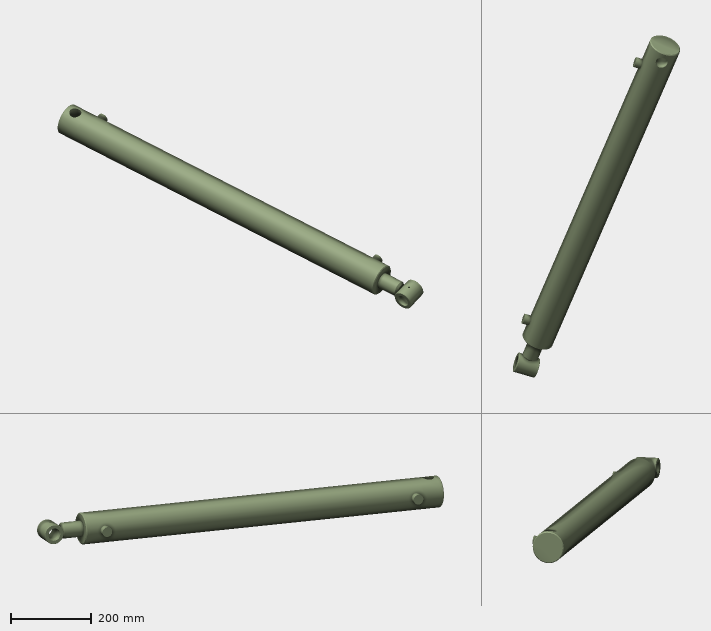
import cadquery as cq

OVERALL_LENGTH = 1063.0

BODY_DIAMETER = 80.0
END_CHAMFER = 2.0
CAP_LENGTH = 55.0
GLAND_END = 957.0
GLAND_LENGTH = 10.0
PIN_DIAMETER = 30.0
CAP_PIN_X = 28.0

PORT_DIAMETER = 25.0
PORT_HEIGHT = 15.0
PORT_POSITIONS = (74.0, 907.0)

ROD_DIAMETER = 40.0
ROD_CHAMFER = 5.0
EYE_DIAMETER = 50.0
EYE_LENGTH = 55.0
EYE_CHAMFER = 1.0
GREASE_HOLE_DIAMETER = 5.0

BODY_RADIUS = BODY_DIAMETER / 2
GLAND_START = GLAND_END - GLAND_LENGTH
EYE_X = OVERALL_LENGTH - EYE_DIAMETER / 2
ROD_END = OVERALL_LENGTH - EYE_DIAMETER


def axial_cylinder(diameter, start, end):
    """Round bar along the cylinder axis from x = start to x = end."""
    return cq.Workplane("YZ", origin=(start, 0, 0)).circle(diameter / 2).extrude(end - start)


def make_end_cap():
    cap = axial_cylinder(BODY_DIAMETER, 0, CAP_LENGTH)
    cap = cap.faces("<X").chamfer(END_CHAMFER)
    pin_hole = cq.Workplane("XY").center(CAP_PIN_X, 0).circle(PIN_DIAMETER / 2)
    return cap.cut(pin_hole.extrude(BODY_DIAMETER, both=True))


def make_barrel():
    return axial_cylinder(BODY_DIAMETER, CAP_LENGTH, GLAND_START)


def make_gland():
    ring = axial_cylinder(BODY_DIAMETER, GLAND_START, GLAND_END)
    ring = ring.faces(">X").chamfer(END_CHAMFER)
    return ring.cut(axial_cylinder(ROD_DIAMETER, GLAND_START, GLAND_END))


def make_rod():
    rod = axial_cylinder(ROD_DIAMETER, GLAND_START, ROD_END)
    return rod.faces(">X").chamfer(ROD_CHAMFER)


def make_rod_eye():
    eye = (
        cq.Workplane("XZ", origin=(EYE_X, EYE_LENGTH / 2, 0))
        .circle(EYE_DIAMETER / 2)
        .circle(PIN_DIAMETER / 2)
        .extrude(EYE_LENGTH)
        .faces("|Y")
        .edges()
        .chamfer(EYE_CHAMFER)
    )
    grease_hole = cq.Workplane("XY").center(EYE_X, 0).circle(GREASE_HOLE_DIAMETER / 2)
    return eye.cut(grease_hole.extrude(EYE_DIAMETER))


def make_port(x):
    """Round boss standing on the barrel, its foot hollowed to fit the barrel."""
    boss = cq.Workplane("XZ", origin=(x, 0, 0)).circle(PORT_DIAMETER / 2)
    boss = boss.extrude(-(BODY_RADIUS + PORT_HEIGHT))
    return boss.cut(axial_cylinder(BODY_DIAMETER, 0, GLAND_END))


end_cap = make_end_cap()
barrel = make_barrel()
gland = make_gland()
rod = make_rod()
rod_eye = make_rod_eye()
ports = [make_port(x) for x in PORT_POSITIONS]

result = cq.Compound.makeCompound(
    [
        end_cap.val(),
        barrel.val(),
        gland.val(),
        rod.val(),
        rod_eye.val(),
        *[port.val() for port in ports],
    ]
)